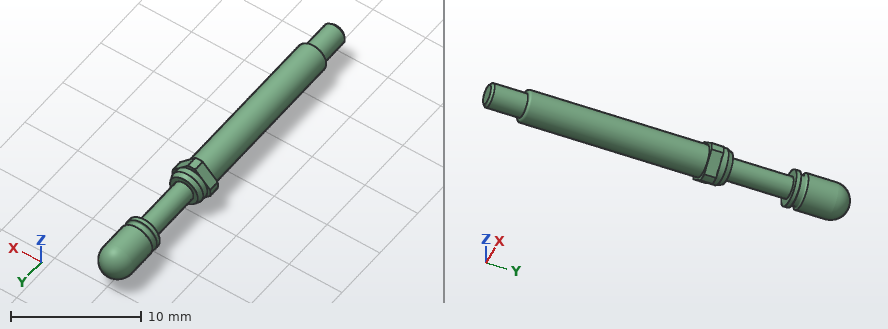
import cadquery as cq
import math

LENGTH = 30.3
TIP_Y = LENGTH / 2

HEAD_DIAMETER = 3.0
STEM_DIAMETER = 1.82
BODY_DIAMETER = 2.67
TAIL_DIAMETER = 2.0
NUT_CORNER_DIAMETER = 3.6

NUT_ACROSS_FLATS = HEAD_DIAMETER

HEAD_LENGTH = 5.0
STEM_LENGTH = 5.25
COLLAR_LENGTH = 1.0
NUT_LENGTH = 1.0
TAIL_LENGTH = 3.0

GROOVE_WIDTH = 0.6
GROOVE_DEPTH = 0.25
GROOVE_FLOOR_RADIUS = 0.15
FLANGE_LENGTH = 0.4

COLLAR_TAPER_LENGTH = 0.45
COLLAR_TAPER_DEPTH = 0.18
BODY_END_RADIUS = 0.2
TAIL_CHAMFER = 0.2

HEAD_REAR_Y = TIP_Y - HEAD_LENGTH
COLLAR_FRONT_Y = HEAD_REAR_Y - STEM_LENGTH
NUT_FRONT_Y = COLLAR_FRONT_Y - COLLAR_LENGTH
NUT_REAR_Y = NUT_FRONT_Y - NUT_LENGTH
TAIL_END_Y = TIP_Y - LENGTH
BODY_REAR_Y = TAIL_END_Y + TAIL_LENGTH


def cylinder(diameter, front_y, rear_y):
    """Cylinder on the Y axis running from front_y back to rear_y."""
    return cq.Workplane("XZ", origin=(0, front_y, 0)).circle(diameter / 2).extrude(front_y - rear_y)


def make_head():
    """Hemispherical head with a round-cornered groove ahead of its rear flange."""
    radius = HEAD_DIAMETER / 2
    dome_center_y = TIP_Y - radius
    arc_offset = radius * math.sqrt(0.5)
    profile = (
        cq.Workplane("XY")
        .moveTo(0, TIP_Y)
        .threePointArc((arc_offset, dome_center_y + arc_offset), (radius, dome_center_y))
        .lineTo(radius, HEAD_REAR_Y)
        .lineTo(0, HEAD_REAR_Y)
        .close()
    )
    head = profile.revolve(360, (0, 0, 0), (0, 1, 0))
    return head.cut(make_groove_ring())


def make_groove_ring():
    """Ring of material removed by the groove, rounded along both floor edges."""
    groove_rear_y = HEAD_REAR_Y + FLANGE_LENGTH
    groove_front_y = groove_rear_y + GROOVE_WIDTH
    floor_diameter = HEAD_DIAMETER - 2 * GROOVE_DEPTH
    outer = cylinder(HEAD_DIAMETER, groove_front_y, groove_rear_y)
    core = cylinder(floor_diameter, groove_front_y, groove_rear_y)
    floor_edges = outer.cut(core).edges(cq.selectors.RadiusNthSelector(0))
    return floor_edges.fillet(GROOVE_FLOOR_RADIUS)


def make_collar():
    """Collar ahead of the nut, tapered at its front edge."""
    collar = cylinder(HEAD_DIAMETER, COLLAR_FRONT_Y, NUT_FRONT_Y)
    return collar.faces(">Y").chamfer(COLLAR_TAPER_LENGTH, COLLAR_TAPER_DEPTH)


def make_nut():
    """Square nut standing on its corner, with the corners rounded to a cylinder."""
    square = (
        cq.Workplane("XZ", origin=(0, NUT_FRONT_Y, 0))
        .transformed(rotate=(0, 0, 45))
        .rect(NUT_ACROSS_FLATS, NUT_ACROSS_FLATS)
        .extrude(NUT_LENGTH)
    )
    return square.intersect(cylinder(NUT_CORNER_DIAMETER, NUT_FRONT_Y, NUT_REAR_Y))


def make_body():
    """Long barrel behind the nut, rounded at its rear edge."""
    return cylinder(BODY_DIAMETER, NUT_REAR_Y, BODY_REAR_Y).faces("<Y").edges().fillet(BODY_END_RADIUS)


def make_tail():
    """Thin pin at the rear, chamfered at its end."""
    return cylinder(TAIL_DIAMETER, BODY_REAR_Y, TAIL_END_Y).faces("<Y").chamfer(TAIL_CHAMFER)


stem = cylinder(STEM_DIAMETER, HEAD_REAR_Y, COLLAR_FRONT_Y)

result = (
    make_head()
    .union(stem)
    .union(make_collar())
    .union(make_nut())
    .union(make_body())
    .union(make_tail())
)